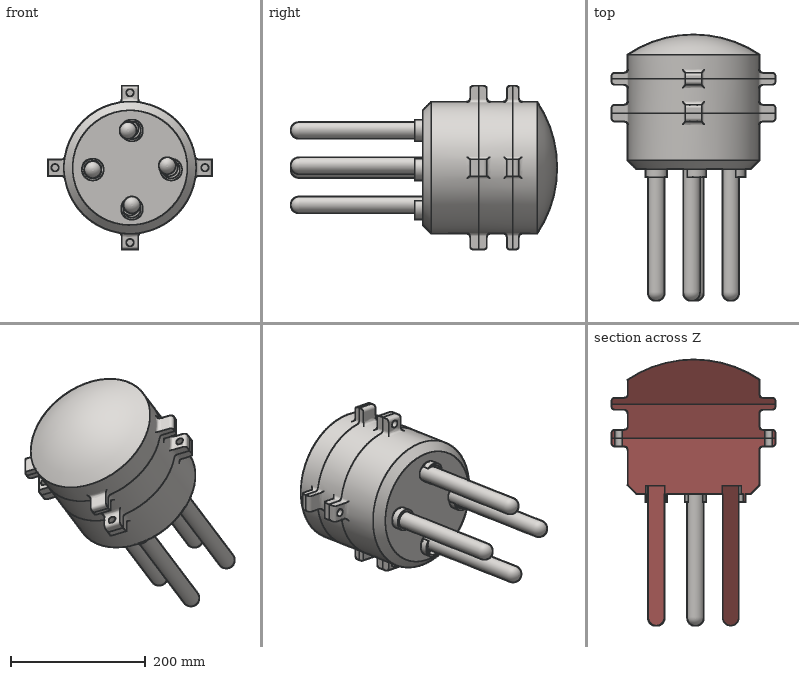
import cadquery as cq

BODY_RADIUS = 98.2
CHAMFER = 13.0
CYLINDER_LENGTH = 170.0
DOME_HEIGHT = 30.0
BODY_LENGTH = CYLINDER_LENGTH + DOME_HEIGHT

FRONT_JOINT_Y = 83.0
REAR_JOINT_Y = 134.0

LUG_WIDTH = 25.0
LUG_REACH_X = 243.67 / 2
LUG_REACH_Z = 243.46 / 2
FRONT_LUG_LENGTH = 25.0
REAR_LUG_LENGTH = 18.0
LUG_ROUND = 5.0
LUG_BASE_FILLET = 5.0
LUG_HOLE_DIAMETER = 11.0
LUG_HOLE_RADIUS_POSITION = 111.3
LUG_ANGLES = (0, 90, 180, 270)

PIN_RADIUS = 12.6
PIN_REACH = 195.85
PIN_TIP_FLAT_RADIUS = 2.0
PIN_SHIFT = 2.9
PIN_ANGLES = (0, 90, 180, 270)
SEAT_CIRCLE_RADIUS = 58.2
SEAT_RADIUS = PIN_RADIUS
SEAT_DEPTH = 12.0

COLLAR_RADIUS = 16.2
COLLAR_BORE_RADIUS = 13.0
COLLAR_LENGTH = 12.0
COLLAR_SHIFT = (PIN_SHIFT, 0, -PIN_SHIFT)

AXIS_START = (0, 0, 0)
AXIS_END = (0, 1, 0)


def cylinder(radius, start_y, end_y, x=0):
    """Round bar parallel to Y, from start_y up to end_y."""
    bar = cq.Workplane("XZ", origin=(x, start_y, 0)).circle(radius)
    return bar.extrude(start_y - end_y)


def turn(shape, angle):
    """Turn a shape about the housing axis."""
    return shape.rotate(AXIS_START, AXIS_END, angle)


def housing_shell():
    """Chamfered cylinder with a spherical dome."""
    sphere_radius = (BODY_RADIUS**2 + DOME_HEIGHT**2) / (2 * DOME_HEIGHT)
    half_chord = BODY_RADIUS / 2
    arc_y = BODY_LENGTH - sphere_radius + (sphere_radius**2 - half_chord**2) ** 0.5
    return (
        cq.Workplane("XY")
        .lineTo(BODY_RADIUS - CHAMFER, 0)
        .lineTo(BODY_RADIUS, CHAMFER)
        .lineTo(BODY_RADIUS, CYLINDER_LENGTH)
        .threePointArc((half_chord, arc_y), (0, BODY_LENGTH))
        .close()
        .revolve(360, AXIS_START, AXIS_END)
    )


def lug(length, joint_y, angle):
    """Block from the housing axis outward, rounded on its outer Y edges."""
    reach = LUG_REACH_X if angle % 180 == 0 else LUG_REACH_Z
    block = (
        cq.Workplane("XY", origin=(reach / 2, joint_y, 0))
        .box(reach, length, LUG_WIDTH)
        .edges(">X and |Z")
        .fillet(LUG_ROUND)
    )
    return turn(block, angle)


def lug_hole(angle):
    """Bolt hole through both halves of a front lug."""
    half = FRONT_LUG_LENGTH / 2
    hole = cylinder(
        LUG_HOLE_DIAMETER / 2, FRONT_JOINT_Y - half, FRONT_JOINT_Y + half, LUG_HOLE_RADIUS_POSITION
    )
    return turn(hole, angle)


def lug_base_edges(body):
    """Edges where the lug sides meet the housing cylinder."""
    corner = (BODY_RADIUS**2 - (LUG_WIDTH / 2) ** 2) ** 0.5
    tolerance = 0.5
    edges = []
    for edge in body.edges().vals():
        center = edge.Center()
        radius = (center.x**2 + center.z**2) ** 0.5
        straight_foot = edge.geomType() == "LINE" and abs(radius - BODY_RADIUS) < tolerance
        short_arc = edge.geomType() == "CIRCLE" and corner - tolerance < radius < BODY_RADIUS + tolerance
        at_lug = edge.Length() < LUG_WIDTH + 2 * tolerance
        if at_lug and (straight_foot or short_arc):
            edges.append(edge)
    return edges


def housing_blank():
    """Whole housing with all its lugs, before it is split at the joints."""
    body = housing_shell()
    for angle in LUG_ANGLES:
        body = body.union(lug(FRONT_LUG_LENGTH, FRONT_JOINT_Y, angle))
        body = body.union(lug(REAR_LUG_LENGTH, REAR_JOINT_Y, angle))
    body = body.newObject(lug_base_edges(body)).fillet(LUG_BASE_FILLET)
    for angle in LUG_ANGLES:
        body = body.cut(lug_hole(angle))
    return body


def housing_section(blank, start_y, end_y):
    """Slice of the housing between two planes across its axis."""
    slice_radius = 2 * BODY_RADIUS
    return blank.intersect(cylinder(slice_radius, start_y, end_y))


def pin(angle):
    """Pin standing off center in its seat, its spherical end cut off by a small flat."""
    tip_height = (PIN_RADIUS**2 - PIN_TIP_FLAT_RADIUS**2) ** 0.5
    mid_radius = PIN_RADIUS / 2**0.5
    sphere_y = tip_height - PIN_REACH
    shaft = (
        cq.Workplane("XY")
        .moveTo(0, SEAT_DEPTH)
        .lineTo(PIN_RADIUS, SEAT_DEPTH)
        .lineTo(PIN_RADIUS, sphere_y)
        .threePointArc((mid_radius, sphere_y - mid_radius), (PIN_TIP_FLAT_RADIUS, -PIN_REACH))
        .lineTo(0, -PIN_REACH)
        .close()
        .revolve(360, AXIS_START, AXIS_END)
    )
    return turn(shaft.translate((PIN_SHIFT - SEAT_CIRCLE_RADIUS, 0, -PIN_SHIFT)), angle)


def collar(angle, radius):
    """Disc in front of the cover at the shifted place of one seat."""
    disc = cylinder(radius, -COLLAR_LENGTH, 0, SEAT_CIRCLE_RADIUS)
    return turn(disc, angle).translate(COLLAR_SHIFT)


def seat(angle):
    """Blind hole in the front face for one pin."""
    return turn(cylinder(SEAT_RADIUS, 0, SEAT_DEPTH, SEAT_CIRCLE_RADIUS), angle)


def front_cover(blank, pins):
    """Front section with its collars and seats, cleared for the pins."""
    cover = housing_section(blank, 0, FRONT_JOINT_Y)
    for angle in PIN_ANGLES:
        cover = cover.union(collar(angle, COLLAR_RADIUS))
    for angle in PIN_ANGLES:
        cover = cover.cut(collar(angle, COLLAR_BORE_RADIUS)).cut(seat(angle))
    for one_pin in pins:
        cover = cover.cut(one_pin)
    return cover


housing = housing_blank()
contact_pins = [pin(angle) for angle in PIN_ANGLES]
cover_section = front_cover(housing, contact_pins)
middle_ring = housing_section(housing, FRONT_JOINT_Y, REAR_JOINT_Y)
rear_cap = housing_section(housing, REAR_JOINT_Y, BODY_LENGTH)

result = cq.Compound.makeCompound(
    [
        *cover_section.solids().vals(),
        *middle_ring.solids().vals(),
        *rear_cap.solids().vals(),
        *[contact_pin.val() for contact_pin in contact_pins],
    ]
)